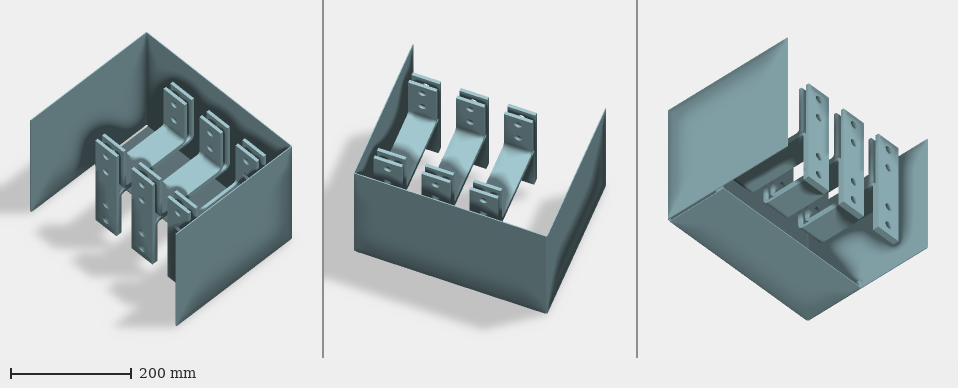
import cadquery as cq
WIDTH = 344.0
DEPTH = 270.0
HEIGHT = 243.0
SHEET = 1.6
SHEET_BEND = 1.0
SHEET_FOLD = SHEET + SHEET_BEND
FLOOR_DEPTH = 122.5
FLOOR_INSET = 4.8
WALL_CORNER_RADIUS = 3.0
TAB_CLEARANCE = 1.35
TAB_WIDTH = 15.0
TAB_HEIGHT = 18.0
TAB_CORNER_RADIUS = 5.0

BAR_COUNT = 3
BAR_PITCH = 85.0
BAR_WIDTH = 50.0
BAR_THICKNESS = 6.0
BAR_BEND = BAR_THICKNESS
BAR_LENGTH = 180.0
BAR_HEIGHT = 206.0
SLOT = 10.0
BAR_TO_BACK = 42.0
BAR_TO_SIDE = 19.5
BAR_TO_TOP = 4.0

HOLE_DIAMETER = 14.0
HOLE_EDGE = 20.0
HOLE_PITCH = 40.0


def bent_strip(plane, centreline, thickness, inside_radius, width):
    """Sweep a strip along a polyline in the plane, bending it at every inner corner.

    The strip spans the given width symmetrically about the plane.
    """
    path = cq.Workplane(plane).polyline(centreline).wire().val()
    corners = path.Vertices()[1:-1]
    path = path.fillet(inside_radius + thickness / 2, corners)
    start = path.startPoint()
    section = cq.Workplane(cq.Plane(start, cq.Plane.named(plane).zDir, path.tangentAt(0)))
    return section.rect(width, thickness).sweep(cq.Workplane(path))


def make_enclosure():
    half_sheet = SHEET / 2
    side = WIDTH / 2 - half_sheet
    back = DEPTH - half_sheet

    wall_height = HEIGHT - SHEET_FOLD
    walls = bent_strip(
        "XY", [(-side, 0), (-side, back), (side, back), (side, 0)], SHEET, SHEET_BEND, wall_height
    ).translate((0, 0, SHEET_FOLD + wall_height / 2))
    walls = walls.edges("|X and <Y and <Z").fillet(WALL_CORNER_RADIUS)

    floor_front = DEPTH - FLOOR_DEPTH
    tab_side = WIDTH / 2 - SHEET - TAB_CLEARANCE - half_sheet
    floor_width = WIDTH - 2 * FLOOR_INSET
    back_overlap = 2 * SHEET_FOLD
    floor = bent_strip(
        "YZ", [(floor_front, half_sheet), (back, half_sheet), (back, back_overlap)],
        SHEET, SHEET_BEND, floor_width,
    )

    tabs = bent_strip(
        "XZ",
        [(-tab_side, TAB_HEIGHT), (-tab_side, half_sheet), (tab_side, half_sheet), (tab_side, TAB_HEIGHT)],
        SHEET, SHEET_BEND, TAB_WIDTH,
    ).translate((0, floor_front + TAB_WIDTH / 2, 0))
    tabs = tabs.edges("|X and >Z").fillet(TAB_CORNER_RADIUS)

    return walls.union(floor).union(tabs)


def make_busbar():
    half = BAR_THICKNESS / 2
    rear = DEPTH - BAR_TO_BACK
    front = rear - BAR_LENGTH
    top = HEIGHT - BAR_TO_TOP
    bottom = top - BAR_HEIGHT
    middle = (top + bottom) / 2
    joint = middle + half

    lower_rear = rear - half
    lower_front = front + BAR_THICKNESS + half
    lower_bar = bent_strip(
        "YZ",
        [(lower_rear, top), (lower_rear, joint - half), (lower_front, joint - half), (lower_front, bottom)],
        BAR_THICKNESS, BAR_BEND, BAR_WIDTH,
    )

    upper_rear = lower_rear - BAR_THICKNESS - SLOT
    upper_front = front + BAR_THICKNESS + SLOT + half
    upper_bar = bent_strip(
        "YZ",
        [(upper_rear, top), (upper_rear, joint + half), (upper_front, joint + half), (upper_front, top)],
        BAR_THICKNESS, BAR_BEND, BAR_WIDTH,
    )

    front_plate = cq.Workplane("XY").box(
        BAR_WIDTH, BAR_THICKNESS, BAR_HEIGHT
    ).translate((0, front + half, middle))

    outer_hole = BAR_HEIGHT / 2 - HOLE_EDGE
    inner_hole = outer_hole - HOLE_PITCH
    holes = cq.Workplane("XZ", origin=(0, rear, middle)).pushPoints(
        [(0, z) for z in (-outer_hole, -inner_hole, inner_hole, outer_hole)]
    ).circle(HOLE_DIAMETER / 2).extrude(BAR_LENGTH)

    return lower_bar.union(upper_bar).union(front_plate).cut(holes)


enclosure = make_enclosure()

last_bar_x = WIDTH / 2 - BAR_TO_SIDE - BAR_WIDTH / 2
busbars = [
    make_busbar().translate((last_bar_x - index * BAR_PITCH, 0, 0)) for index in range(BAR_COUNT)
]

result = cq.Compound.makeCompound([enclosure.val(), *[busbar.val() for busbar in busbars]])